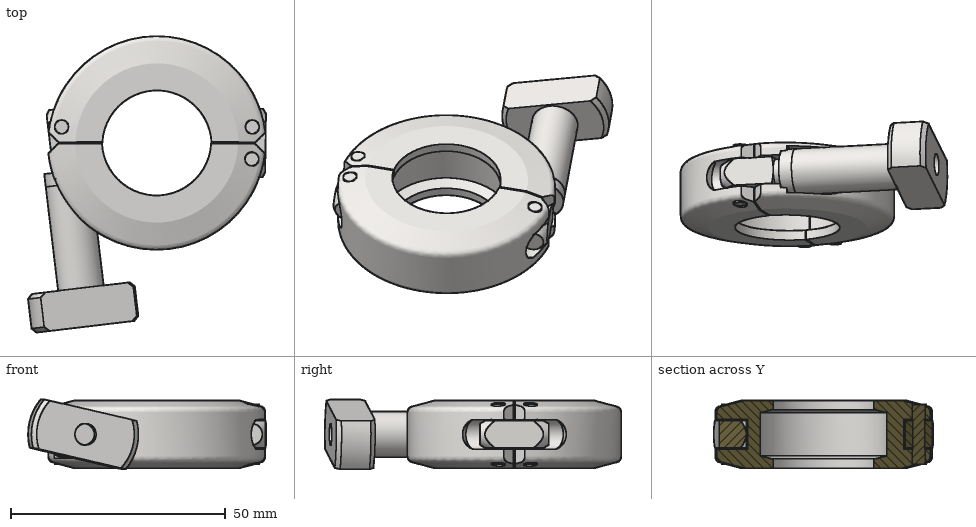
import cadquery as cq
import math

RING_RADIUS = 25.4
RING_HALF_HEIGHT = 15.875 / 2
FLAT_RADIUS = 19.05
CONE_ANGLE = 15.0
RIM_FILLET = 1.4
BORE_RADIUS = 12.7
LIP_THICKNESS = 2.2
GROOVE_RADIUS = 15.5
HALF_GAP = 0.18
CENTRE_OFFSET = 0.5
LOWER_SHIFT = -0.1
SPLIT_CHAMFER_X = 22.95

PIN_DIAMETER = 3.18
PIN_LENGTH = 14.0
PIN_X = 22.2
PIN_Y = 3.75
CLAMP_PIN_HOLE = 3.2
EYE_PIN_HOLE = 3.25

BAR_WIDTH = 6.35
BAR_END = 4.25
END_DISC_RADIUS = 4.98 / 2
END_CONE_ANGLE = 30.0

SLOT_HALF_WIDTH = 6.86 / 2
SLOT_FLOOR = SLOT_HALF_WIDTH
SLOT_FLAT_END = 2.65
SLOT_END_REACH = 8.33
SLOT_END_EDGE = 5.98

BOLT_SWING = 6.8
SQUARE_LENGTH = 8.6
SHOULDER_ANGLE = 75.0
SEAT = 10.4
WASHER_THICKNESS = 3.05
NUT_START = SEAT + WASHER_THICKNESS
HANDLE_START = 37.8
HANDLE_END = 46.9
BOLT_END_RECESS = 3.4
BOLT_END = HANDLE_END - BOLT_END_RECESS
THREAD_DIAMETER = 4.98
WASHER_HOLE = 6.86
NUT_DIAMETER = 10.74
SEAT_BORE_RADIUS = 5.5
NUT_SLOT_START = 11.8
NUT_SLOT_HALF_WIDTH = 5.6
HANDLE_DIAMETER = 25.1
HANDLE_WIDTH = 11.56
HANDLE_CHAMFER = 1.1
HANDLE_TURN = 13.0

FAR = 60.0
CUT_MARGIN = 1.0

LEFT_PIN = (-PIN_X, PIN_Y)
RIGHT_PIN = (PIN_X, PIN_Y)
LOWER_PIN = (PIN_X + LOWER_SHIFT, -PIN_Y)
LINK_LENGTH = math.hypot(LOWER_SHIFT, 2 * PIN_Y)
LINK_TILT = math.degrees(math.atan2(LOWER_SHIFT, 2 * PIN_Y))


def block(x, y, z):
    """Box between (low, high) pairs on each axis."""
    size = [high - low for low, high in (x, y, z)]
    return cq.Workplane("XY").box(*size, centered=False).translate((x[0], y[0], z[0]))


def rod(diameter, start, end):
    """Round rod on the Y axis that runs towards -Y, from y = -start to y = -end."""
    return cq.Workplane("XZ", origin=(0, -start, 0)).circle(diameter / 2).extrude(end - start)


def upright(diameter, length, place):
    """Round rod parallel to Z, centred on mid height."""
    return cq.Workplane("XY").center(*place).circle(diameter / 2).extrude(length / 2, both=True)


def hung(shape, pin, tilt):
    """Turn a shape built along -Y by tilt about Z, then move its origin to a pin."""
    return shape.rotate((0, 0, 0), (0, 0, 1), tilt).translate((*pin, 0))


def ring():
    slope = math.tan(math.radians(CONE_ANGLE))
    rim_z = RING_HALF_HEIGHT - (RING_RADIUS - FLAT_RADIUS) * slope
    lip_z = RING_HALF_HEIGHT - LIP_THICKNESS
    groove_z = lip_z - (GROOVE_RADIUS - BORE_RADIUS) * slope
    upper_outline = [
        (GROOVE_RADIUS, groove_z),
        (BORE_RADIUS, lip_z),
        (BORE_RADIUS, RING_HALF_HEIGHT),
        (FLAT_RADIUS, RING_HALF_HEIGHT),
        (RING_RADIUS, rim_z),
    ]
    lower_outline = [(r, -z) for r, z in reversed(upper_outline)]
    body = cq.Workplane("XZ").polyline(upper_outline + lower_outline).close().revolve()
    rims = cq.selectors.RadiusNthSelector(-1)
    return body.edges("%CIRCLE").edges(rims).fillet(RIM_FILLET)


def clamp_half():
    """The +Y half, without slots and pin holes."""
    half = ring().translate((0, -CENTRE_OFFSET, 0))
    half = half.intersect(block((-FAR, FAR), (HALF_GAP, FAR), (-FAR, FAR)))
    leg = RING_RADIUS - SPLIT_CHAMFER_X + CUT_MARGIN
    for side in (-1, 1):
        start = side * SPLIT_CHAMFER_X
        end = side * (SPLIT_CHAMFER_X + leg)
        corner = [(start, HALF_GAP), (end, HALF_GAP), (end, HALF_GAP + leg)]
        half = half.cut(cq.Workplane("XY").polyline(corner).close().extrude(FAR, both=True))
    return half


def slot_end(outward):
    """Rounded slot end on the +Y side of a pin: a barrel-edged disc about the pin axis."""
    disc = (
        cq.Workplane("XZ")
        .moveTo(0, -SLOT_HALF_WIDTH)
        .lineTo(SLOT_END_EDGE, -SLOT_HALF_WIDTH)
        .threePointArc((SLOT_END_REACH, 0), (SLOT_END_EDGE, SLOT_HALF_WIDTH))
        .lineTo(0, SLOT_HALF_WIDTH)
        .close()
        .revolve(360, (0, 0, 0), (0, 1, 0))
    )
    outside = sorted((0, outward * FAR))
    round_floor = rod(2 * SLOT_HALF_WIDTH, -FAR, 0)
    return disc.intersect(round_floor.union(block(outside, (0, FAR), (-FAR, FAR))))


def slot_run(outward, start, end):
    """Flat-floored part of a slot between two Y positions, open to the outside."""
    x_range = sorted((-outward * SLOT_FLOOR, outward * SLOT_END_REACH))
    return block(x_range, (start, end), (-SLOT_HALF_WIDTH, SLOT_HALF_WIDTH))


def link_slot():
    far_end = slot_end(1).mirror("XZ").translate((0, -LINK_LENGTH, 0))
    run = slot_run(1, -LINK_LENGTH - SLOT_FLAT_END, SLOT_FLAT_END)
    slot = slot_end(1).union(run).union(far_end)
    return hung(slot, RIGHT_PIN, LINK_TILT)


def bolt_slot():
    """Slot for the swing bolt, washer seat and the wider opening for the nut."""
    nut_opening = rod(2 * NUT_SLOT_HALF_WIDTH, NUT_SLOT_START, FAR).union(
        block((-FAR, 0), (-FAR, -NUT_SLOT_START), (-NUT_SLOT_HALF_WIDTH, NUT_SLOT_HALF_WIDTH))
    )
    slot = slot_end(-1).union(slot_run(-1, -SEAT, SLOT_FLAT_END))
    slot = slot.union(rod(2 * SEAT_BORE_RADIUS, SEAT, NUT_SLOT_START)).union(nut_opening)
    return hung(slot, LEFT_PIN, BOLT_SWING)


def pin_hole(place):
    return upright(CLAMP_PIN_HOLE, FAR, place)


upper_half = clamp_half().cut(link_slot()).cut(bolt_slot())
upper_half = upper_half.cut(pin_hole(LEFT_PIN)).cut(pin_hole(RIGHT_PIN))

lower_half = clamp_half().mirror("XZ").translate((LOWER_SHIFT, 0, 0))
lower_half = lower_half.cut(link_slot()).cut(bolt_slot()).cut(pin_hole(LOWER_PIN))


pins = [upright(PIN_DIAMETER, PIN_LENGTH, place) for place in (LEFT_PIN, RIGHT_PIN, LOWER_PIN)]


def end_cone(end, tip_radius, angle):
    """Cone frustum on the Y axis that widens towards -Y from a flat tip at y = end."""
    length = FAR / math.tan(math.radians(angle))
    return (
        cq.Workplane("XY")
        .polyline([
            (0, end),
            (tip_radius, end),
            (tip_radius + FAR, end - length),
            (0, end - length),
        ])
        .close()
        .revolve(360, (0, 0, 0), (0, 1, 0))
    )


def eye_cone():
    """Cone that trims the eye end of a bar."""
    return end_cone(BAR_END, END_DISC_RADIUS, END_CONE_ANGLE)


def square_bar(length):
    """Square bar on the Y axis with a coned +Y end, reaching y = -length."""
    half = BAR_WIDTH / 2
    return block((-half, half), (-length, BAR_END), (-half, half)).intersect(eye_cone())


def link():
    other_cone = eye_cone().mirror("XZ").translate((0, -LINK_LENGTH, 0))
    bar = square_bar(LINK_LENGTH + BAR_END).intersect(other_cone)
    for y in (0, -LINK_LENGTH):
        bar = bar.cut(upright(EYE_PIN_HOLE, FAR, (0, y)))
    return hung(bar, RIGHT_PIN, LINK_TILT)


def swing_bolt():
    shank = rod(BAR_WIDTH, SQUARE_LENGTH, NUT_START)
    thread = rod(THREAD_DIAMETER, NUT_START, BOLT_END)
    shoulder = end_cone(SQUARE_LENGTH, BAR_WIDTH / 2, SHOULDER_ANGLE).mirror("XZ")
    bolt = square_bar(SQUARE_LENGTH).intersect(shoulder).union(shank).union(thread)
    bolt = bolt.cut(upright(EYE_PIN_HOLE, FAR, (0, 0)))
    return hung(bolt, LEFT_PIN, BOLT_SWING)


def washer():
    disc = rod(NUT_DIAMETER, SEAT, NUT_START).cut(rod(WASHER_HOLE, SEAT, NUT_START))
    return hung(disc, LEFT_PIN, BOLT_SWING)


def handle_nut():
    flats = HANDLE_WIDTH / 2
    handle = rod(HANDLE_DIAMETER, HANDLE_START, HANDLE_END).edges().chamfer(HANDLE_CHAMFER)
    handle = handle.intersect(block((-FAR, FAR), (-FAR, FAR), (-flats, flats)))
    handle = handle.rotate((0, 0, 0), (0, 1, 0), HANDLE_TURN)
    nut = rod(NUT_DIAMETER, NUT_START, HANDLE_START).union(handle)
    nut = nut.cut(rod(THREAD_DIAMETER, NUT_START, HANDLE_END))
    return hung(nut, LEFT_PIN, BOLT_SWING)


result = cq.Compound.makeCompound([
    upper_half.val(),
    lower_half.val(),
    *[pin.val() for pin in pins],
    link().val(),
    swing_bolt().val(),
    washer().val(),
    handle_nut().val(),
])